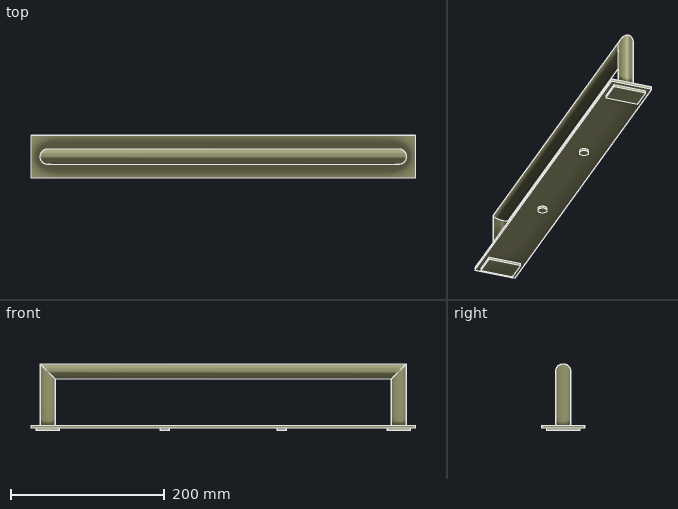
import cadquery as cq

plate_length = 501.0
plate_width = 56.0
plate_thickness = 3.5
plate_corner_radius = 1.5

handle_height = 80.0
tube_diameter = 20.0
leg_spacing = 457.0

pad_length = 30.0
pad_width = 44.0
pad_thickness = 3.0

button_spacing = 152.5
button_diameter = 12.0

leg_x = leg_spacing / 2
button_x = button_spacing / 2
rail_z = plate_thickness + handle_height - tube_diameter / 2


def make_plate():
    plate = cq.Workplane("XY").box(
        plate_length, plate_width, plate_thickness, centered=(True, True, False)
    )
    return plate.edges("|Z").fillet(plate_corner_radius)


def make_handle():
    """Sweep a round bar up one leg, along the rail and down the other leg."""
    path = cq.Workplane("XZ").polyline(
        [(-leg_x, 0), (-leg_x, rail_z), (leg_x, rail_z), (leg_x, 0)]
    )
    section = cq.Workplane("XY").center(-leg_x, 0).circle(tube_diameter / 2)
    return section.sweep(path, transition="right")


def make_pads():
    return (
        cq.Workplane("XY")
        .pushPoints([(-leg_x, 0), (leg_x, 0)])
        .rect(pad_length, pad_width)
        .extrude(-pad_thickness)
    )


def make_buttons():
    return (
        cq.Workplane("XY")
        .pushPoints([(-button_x, 0), (button_x, 0)])
        .circle(button_diameter / 2)
        .extrude(-pad_thickness)
    )


result = make_plate().union(make_handle()).union(make_pads()).union(make_buttons())